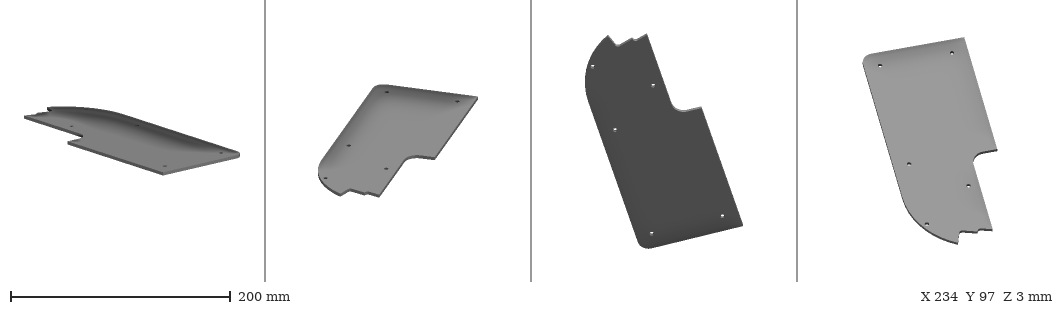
import cadquery as cq
import math

length = 234.0
width = 97.0
thickness = 3.0

outer_corner_radius = 10.0
step_corner_radius = 12.0
notch_corner_radius = 3.0

step_x = 99.2
step_y = 25.0

nose_tip_y = 59.5
nose_run = 63.2
nose_drop = width - nose_tip_y
nose_radius = (nose_run**2 + nose_drop**2) / (2 * nose_drop)

notch_tilt = math.radians(18)
upper_notch_depth = 14.7
upper_notch_height = 16.6
lower_notch_height = 13.3
jaw_x = 8.5

hole_diameter = 4.0
upper_hole_y = 82.2
right_hole_x = 218.5
hole_centers = [
    (27.9, upper_hole_y),
    (100.2, upper_hole_y),
    (right_hole_x, upper_hole_y),
    (right_hole_x, 15.0),
    (63.2, 35.0),
]


def move_inward(point, distance):
    """Move right along the tilted notch direction."""
    x, y = point
    return (x + distance * math.cos(notch_tilt), y - distance * math.sin(notch_tilt))


def move_up(point, distance):
    """Move up, square to the tilted notch direction."""
    x, y = point
    return (x + distance * math.sin(notch_tilt), y + distance * math.cos(notch_tilt))


nose_tip = (0, nose_tip_y)
upper_notch_corner = move_inward(nose_tip, upper_notch_depth)
tooth_tip = move_up(upper_notch_corner, -upper_notch_height)
jaw_tip = (jaw_x, step_y)
lower_notch_corner = move_up(jaw_tip, lower_notch_height)

half_sweep = math.asin(nose_run / nose_radius) / 2
nose_middle = (
    nose_run - nose_radius * math.sin(half_sweep),
    width - nose_radius * (1 - math.cos(half_sweep)),
)

plate = (
    cq.Workplane("XY")
    .moveTo(*nose_tip)
    .threePointArc(nose_middle, (nose_run, width))
    .lineTo(length, width)
    .lineTo(length, 0)
    .lineTo(step_x, 0)
    .lineTo(step_x, step_y)
    .lineTo(*jaw_tip)
    .lineTo(*lower_notch_corner)
    .lineTo(*tooth_tip)
    .lineTo(*upper_notch_corner)
    .close()
    .extrude(thickness)
)


def round_corner(body, corner, radius):
    """Round the upright edge nearest to an outline corner."""
    edge = cq.selectors.NearestToPointSelector((*corner, thickness / 2))
    return body.edges("|Z").edges(edge).fillet(radius)


plate = round_corner(plate, (length, width), outer_corner_radius)
plate = round_corner(plate, (step_x, step_y), step_corner_radius)
for notch_corner in (upper_notch_corner, lower_notch_corner):
    plate = round_corner(plate, notch_corner, notch_corner_radius)

holes = cq.Workplane("XY").pushPoints(hole_centers).circle(hole_diameter / 2).extrude(thickness)
result = plate.cut(holes)